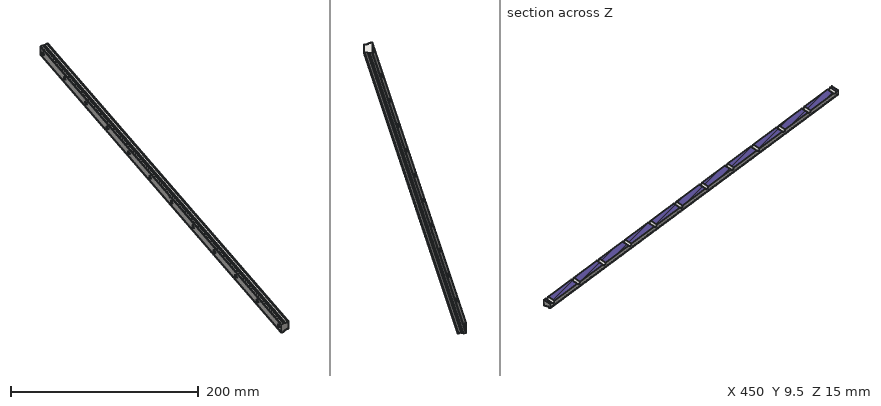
import cadquery as cq

length = 450.0
height = 9.5
base_width = 15.0

head_width = 13.0
flange_top = 2.85
flare_top = height / 2
base_chamfer = 0.5
head_chamfer = 0.4

groove_height = 6.8
groove_radius = 1.6
groove_depth = 0.825

hole_count = 12
hole_pitch = 40.0
hole_diameter = 3.5
end_margin = (length - (hole_count - 1) * hole_pitch) / 2


def rail_blank():
    """Rail without grooves or holes: a flange that tapers to a narrower, chamfered head."""
    half_base = base_width / 2
    half_head = head_width / 2
    upper_side = [
        (0, half_base - base_chamfer),
        (base_chamfer, half_base),
        (flange_top, half_base),
        (flare_top, half_head),
        (height - head_chamfer, half_head),
        (height, half_head - head_chamfer),
    ]
    lower_side = [(y, -z) for y, z in reversed(upper_side)]
    return cq.Workplane("YZ").polyline(upper_side + lower_side).close().extrude(length)


def groove_cutter(side):
    """Round bar for one ball groove; side is +1 or -1 for the +Z or -Z side of the head.

    The bar is made of two half-cylinders, so the groove has two faces that meet at its deepest line.
    """
    centre_z = side * (head_width / 2 + groove_radius - groove_depth)
    bottom = (groove_height, centre_z - groove_radius)
    top = (groove_height, centre_z + groove_radius)
    return (
        cq.Workplane("YZ")
        .moveTo(*bottom)
        .threePointArc((groove_height + groove_radius, centre_z), top)
        .threePointArc((groove_height - groove_radius, centre_z), bottom)
        .close()
        .extrude(length)
    )


def mounting_holes():
    """Row of plain through holes along the centre line of the rail."""
    hole_centres = [(end_margin + i * hole_pitch, 0) for i in range(hole_count)]
    return (
        cq.Workplane("XZ")
        .pushPoints(hole_centres)
        .circle(hole_diameter / 2)
        .extrude(-height)
    )


result = rail_blank()
for side in (1, -1):
    result = result.cut(groove_cutter(side), clean=False)
result = result.cut(mounting_holes(), clean=False)